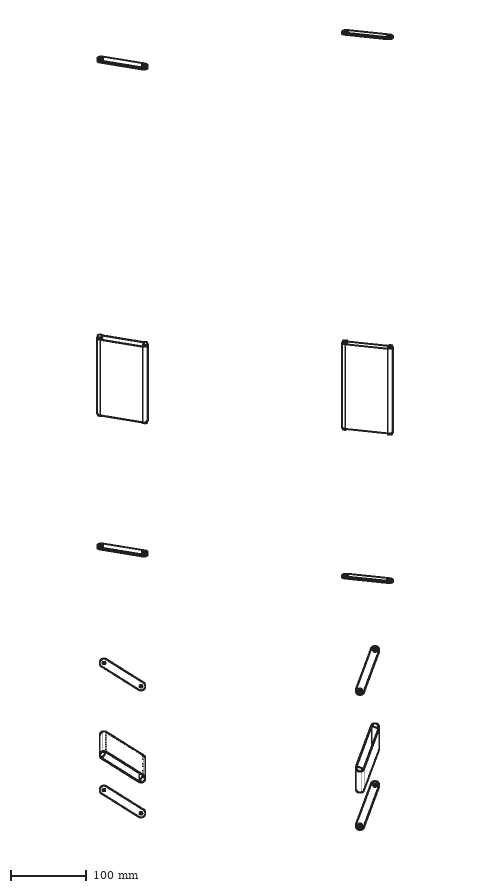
import cadquery as cq
import math

length_z = 779.0
width = 70.0
thickness = 12.0
end_radius = thickness / 2
end_center_x = width / 2 - end_radius

cover_height = 3.0
cover_chamfer = 1.0
screw_diameter = 3.5
screw_head_diameter = 5.5
screw_head_angle = 90.0

housing_top_z = -55.0
housing_height = 121.0
housing_bottom_z = housing_top_z - housing_height
wall = 1.25

tab_height = 2.0
tab_half_width = 3.5
tab_inset = 1.0
tab_inner_x = end_center_x
tab_outer_radius = end_radius - tab_inset


def make_cover(bottom_z):
    """Round-ended plate with a chamfered top rim and two countersunk screw holes."""
    plate = cq.Workplane("XY").workplane(offset=bottom_z).slot2D(width, thickness).extrude(cover_height)
    plate = plate.faces(">Z").edges().chamfer(cover_chamfer)
    return (
        plate.faces(">Z")
        .workplane(origin=(0, 0, 0))
        .pushPoints([(-end_center_x, 0), (end_center_x, 0)])
        .cskHole(screw_diameter, screw_head_diameter, screw_head_angle)
    )


def make_housing():
    """Sleeve whose round ends each carry a crown face as wide as the tabs above it."""
    crown_angle = math.asin(tab_half_width / end_radius)
    shoulder_angle = (crown_angle + math.pi / 2) / 2

    def end_point(angle, side_x, side_y):
        x = end_center_x + end_radius * math.cos(angle)
        y = end_radius * math.sin(angle)
        return (side_x * x, side_y * y)

    outline = cq.Workplane("XY").workplane(offset=housing_bottom_z).moveTo(-end_center_x, end_radius)
    for side in (1, -1):
        outline = (
            outline.lineTo(side * end_center_x, side * end_radius)
            .threePointArc(end_point(shoulder_angle, side, side), end_point(crown_angle, side, side))
            .threePointArc((side * width / 2, 0), end_point(crown_angle, side, -side))
            .threePointArc(end_point(shoulder_angle, side, -side), (side * end_center_x, -side * end_radius))
        )
    body = outline.close().extrude(housing_height, clean=False)
    cavity = (
        cq.Workplane("XY")
        .workplane(offset=housing_bottom_z)
        .rect(2 * end_center_x, thickness - 2 * wall)
        .extrude(housing_height)
    )
    return body.cut(cavity, clean=False)


def make_tab(side, bottom_z):
    """Short tab with a rounded outer face; side is +1 for the +X end and -1 for the -X end."""
    corner_x = end_center_x + math.sqrt(tab_outer_radius**2 - tab_half_width**2)
    tip_x = end_center_x + tab_outer_radius
    return (
        cq.Workplane("XY")
        .workplane(offset=bottom_z)
        .moveTo(side * tab_inner_x, -tab_half_width)
        .lineTo(side * corner_x, -tab_half_width)
        .threePointArc((side * tip_x, 0), (side * corner_x, tab_half_width))
        .lineTo(side * tab_inner_x, tab_half_width)
        .close()
        .extrude(tab_height)
    )


covers = [make_cover(bottom_z) for bottom_z in (length_z / 2 - cover_height, -length_z / 2)]
housing = make_housing()
tabs = [
    make_tab(side, bottom_z)
    for side in (-1, 1)
    for bottom_z in (housing_top_z, housing_bottom_z - tab_height)
]

result = cq.Compound.makeCompound(
    [cover.val() for cover in covers] + [housing.val()] + [tab.val() for tab in tabs]
)